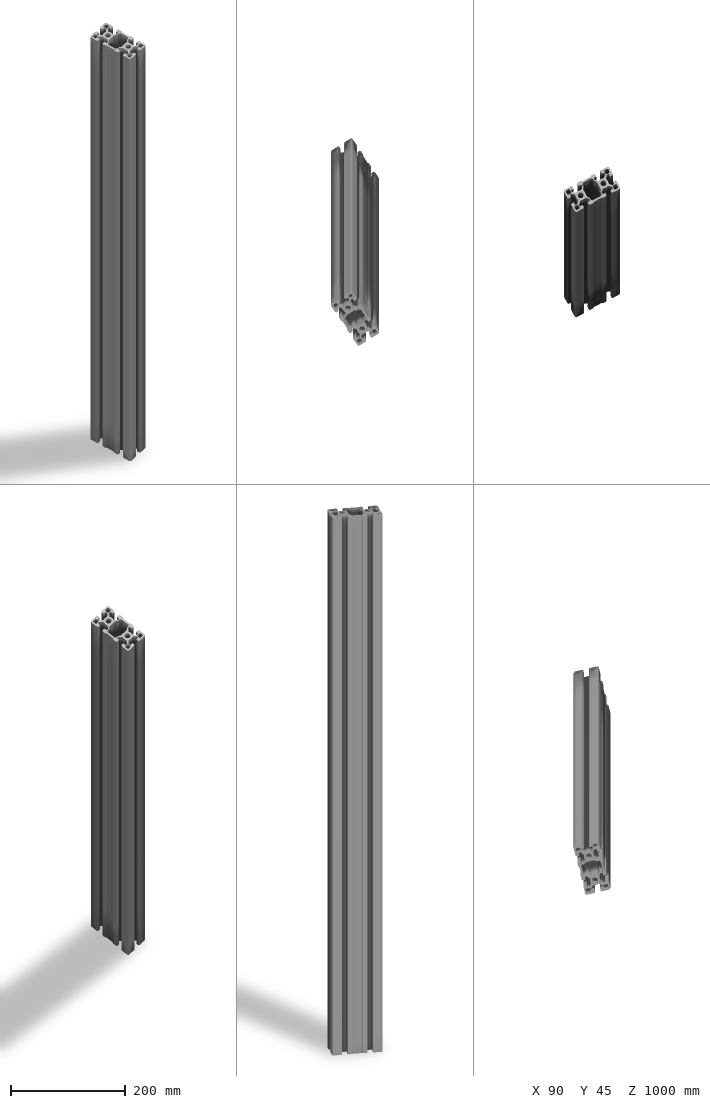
import cadquery as cq
import math

module = 45.0
width = 2 * module
depth = module
length = 1000.0
corner_radius = 3.0

mouth_half = 5.0
entry_half = 5.8
entry_depth = 1.2
entry_radius = 0.5
lip_thickness = 6.2
slot_half = 10.3
slot_wall_depth = 10.0
floor_depth = 13.8
floor_half = 5.6
floor_corner_radius = 3.0
crown_half = 3.6
crown_half_angle = math.radians(18)

core_bore = 10.0

hollow_wall = 3.0
hollow_size = 7.9
hollow_radius = 1.7

cavity_half_width = 13.5
cavity_shoulder = 7.7
neck_half_width = 10.7
neck_start = 11.2
roof_half_width = 8.3
cavity_half_height = 17.7
roof_chamfer = neck_half_width - roof_half_width

recess_half = 9.2
recess_floor_half = 8.8
recess_depth = 1.5


def slot_cutter():
    """T-slot opening toward +Y, with its mouth on the XZ plane and a crowned floor."""
    crown_radius = crown_half / math.sin(crown_half_angle)
    crown_mid_drop = crown_radius * (1 - math.cos(crown_half_angle / 2))
    corner_depth = floor_depth + crown_radius * (1 - math.cos(crown_half_angle))

    slope = math.atan2(corner_depth - slot_wall_depth, slot_half - floor_half)
    tangent = floor_corner_radius * math.tan(slope / 2)
    slope_start = (floor_half + tangent * math.cos(slope), -corner_depth + tangent * math.sin(slope))

    entry_mid = entry_radius * (1 - math.sqrt(0.5))
    return (
        cq.Workplane("XY")
        .moveTo(0, -floor_depth)
        .threePointArc(
            (crown_radius * math.sin(crown_half_angle / 2), -floor_depth - crown_mid_drop),
            (crown_half, -corner_depth),
        )
        .lineTo(floor_half - tangent, -corner_depth)
        .tangentArcPoint(slope_start, relative=False)
        .lineTo(slot_half, -slot_wall_depth)
        .lineTo(slot_half, -lip_thickness)
        .lineTo(mouth_half, -lip_thickness)
        .lineTo(mouth_half, -entry_depth)
        .lineTo(entry_half, -entry_depth)
        .lineTo(entry_half, -entry_radius)
        .threePointArc((entry_half + entry_mid, -entry_mid), (entry_half + entry_radius, 0))
        .lineTo(0, 0)
        .mirrorY()
        .extrude(length)
    )


def cut_slots(body):
    """Two slots in each wide face and one in each narrow face."""
    places = [(-width / 2, 0, 90), (width / 2, 0, -90)]
    for x in (-module / 2, module / 2):
        places += [(x, depth / 2, 0), (x, -depth / 2, 180)]
    cutter = slot_cutter()
    for x, y, turn in places:
        body = body.cut(cutter.rotate((0, 0, 0), (0, 0, 1), turn).translate((x, y, 0)))
    return body


def core_bores():
    return cq.Workplane("XY").rarray(module, 1, 2, 1).circle(core_bore / 2).extrude(length)


def corner_hollows():
    inset = 2 * hollow_wall + hollow_size
    return (
        cq.Workplane("XY")
        .rarray(width - inset, depth - inset, 2, 2)
        .rect(hollow_size, hollow_size)
        .extrude(length)
        .edges("|Z")
        .fillet(hollow_radius)
    )


def centre_cavity():
    upper_right = [
        (roof_half_width, cavity_half_height),
        (neck_half_width, cavity_half_height - roof_chamfer),
        (neck_half_width, neck_start),
        (cavity_half_width, cavity_shoulder),
    ]
    right = upper_right + [(x, -y) for x, y in reversed(upper_right)]
    outline = right + [(-x, -y) for x, y in right]
    return cq.Workplane("XY").polyline(outline).close().extrude(length)


def face_recess(side):
    """Recess in the wide face on the +Y (side = 1) or -Y (side = -1) side."""
    face = side * depth / 2
    floor = side * (depth / 2 - recess_depth)
    outline = [
        (-recess_half, face),
        (-recess_floor_half, floor),
        (recess_floor_half, floor),
        (recess_half, face),
    ]
    return cq.Workplane("XY").polyline(outline).close().extrude(length)


body = cq.Workplane("XY").rect(width, depth).extrude(length).edges("|Z").fillet(corner_radius)
body = cut_slots(body)
body = body.cut(core_bores()).cut(corner_hollows()).cut(centre_cavity())
for side in (1, -1):
    body = body.cut(face_recess(side))

result = body.translate((0, 0, -length / 2))